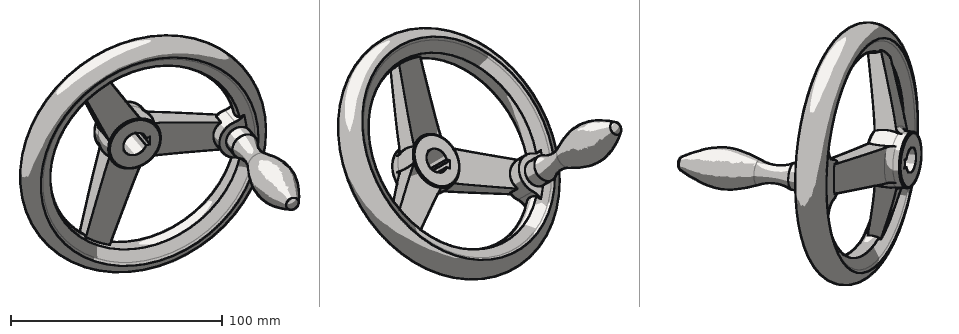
import cadquery as cq
import math


rim_front = 20.0
rim_width = 15.9
rim_outer_radius = 62.5
rim_inner_radius = 48.2
rim_shoulder_radius = 56.2
rim_lip_radius = 55.9
rim_cone_x = 20.9
rim_cone_radius = 54.5
rim_cone_end_x = 24.1
rim_cone_end_radius = 49.2
rim_back = rim_front + rim_width
rim_middle = rim_front + rim_width / 2

hub_length = 18.1
hub_radius = 13.5
hub_bulge_radius = 14.2
hub_collar_length = 5.2
hub_chamfer = 0.6
bore_radius = 6.0
key_width = 4.0
key_reach = 7.7

spoke_count = 3
spoke_fillet_start = 3.7
spoke_front_x = 7.2
spoke_front_radius = 15.5
spoke_front_slope = 2.15
spoke_back_x = 17.6
spoke_back_slope = 2.9
spoke_half_width_at_axis = 9.5
spoke_taper = 0.05
spoke_root_radius = 10.0
spoke_end_radius = 52.5

handle_offset = 47.0
boss_front = rim_cone_x
boss_length = 12.1
boss_radius = 10.0
boss_blend_radius = 8.0
boss_outer_radius = 54.9

collar_radius = 6.5
collar_end = 40.6
neck_x = 50.4
neck_radius = 4.4
grip_start = 58.4
grip_start_radius = 6.1
grip_start_slope = 0.36
grip_widest_x = 75.0
grip_radius = 10.0
grip_end = 98.0
grip_end_radius = 3.2
grip_end_slope = -0.5
handle_end = 99.5


def revolve_about_x(profile):
    """Revolve a closed profile of (x, radius) points around the X axis."""
    return profile.close().revolve(360, (0, 0, 0), (1, 0, 0))


def make_rim():
    return revolve_about_x(
        cq.Workplane("XY")
        .moveTo(rim_front, rim_lip_radius)
        .lineTo(rim_front, rim_shoulder_radius)
        .threePointArc((rim_middle, rim_outer_radius), (rim_back, rim_shoulder_radius))
        .lineTo(rim_back, rim_lip_radius)
        .lineTo(2 * rim_middle - rim_cone_x, rim_cone_radius)
        .lineTo(2 * rim_middle - rim_cone_end_x, rim_cone_end_radius)
        .threePointArc((rim_middle, rim_inner_radius), (rim_cone_end_x, rim_cone_end_radius))
        .lineTo(rim_cone_x, rim_cone_radius)
    )


def make_hub():
    barrel_end = hub_length - hub_chamfer
    barrel_middle = (hub_collar_length + barrel_end) / 2
    return revolve_about_x(
        cq.Workplane("XY")
        .moveTo(0, 0)
        .lineTo(0, hub_radius - hub_chamfer)
        .lineTo(hub_chamfer, hub_radius)
        .lineTo(hub_collar_length, hub_radius)
        .threePointArc((barrel_middle, hub_bulge_radius), (barrel_end, hub_radius))
        .lineTo(hub_length, hub_radius - hub_chamfer)
        .lineTo(hub_length, 0)
    )


def make_spokes():
    front_end_x = spoke_front_x + (spoke_end_radius - spoke_front_radius) / spoke_front_slope
    back_end_x = spoke_back_x + (spoke_end_radius - hub_radius) / spoke_back_slope
    ring = revolve_about_x(
        cq.Workplane("XY")
        .moveTo(spoke_fillet_start, spoke_root_radius)
        .lineTo(spoke_fillet_start, hub_radius)
        .spline(
            [(spoke_front_x, spoke_front_radius)],
            tangents=[(1, 0), (1, spoke_front_slope)],
            includeCurrent=True,
        )
        .lineTo(front_end_x, spoke_end_radius)
        .lineTo(back_end_x, spoke_end_radius)
        .lineTo(spoke_back_x, hub_radius)
        .lineTo(spoke_back_x, spoke_root_radius)
    )
    root_half = spoke_half_width_at_axis - spoke_taper * spoke_root_radius
    end_half = spoke_half_width_at_axis - spoke_taper * rim_outer_radius
    arm = (
        cq.Workplane("YZ")
        .polyline([
            (spoke_root_radius, -root_half),
            (rim_outer_radius, -end_half),
            (rim_outer_radius, end_half),
            (spoke_root_radius, root_half),
        ])
        .close()
        .extrude(rim_back)
    )
    arm = arm.intersect(ring)
    spokes = arm
    for index in range(1, spoke_count):
        spokes = spokes.union(arm.rotate((0, 0, 0), (1, 0, 0), index * 360 / spoke_count))
    return spokes


def make_boss():
    to_axis = boss_outer_radius - boss_blend_radius
    to_boss = boss_radius + boss_blend_radius
    blend_y = (to_axis**2 + handle_offset**2 - to_boss**2) / (2 * handle_offset)
    blend_z = math.sqrt(to_axis**2 - blend_y**2)

    boss_share = boss_radius / to_boss
    boss_y = handle_offset + (blend_y - handle_offset) * boss_share
    boss_z = blend_z * boss_share
    rim_share = boss_outer_radius / to_axis
    rim_y = blend_y * rim_share
    rim_z = blend_z * rim_share

    angle_to_boss = math.atan2(boss_z - blend_z, boss_y - blend_y)
    angle_to_rim = math.atan2(rim_z - blend_z, rim_y - blend_y)
    angle = (angle_to_boss + angle_to_rim) / 2
    mid_y = blend_y + boss_blend_radius * math.cos(angle)
    mid_z = blend_z + boss_blend_radius * math.sin(angle)

    return (
        cq.Workplane("YZ", origin=(boss_front, 0, 0))
        .moveTo(boss_y, boss_z)
        .threePointArc((mid_y, mid_z), (rim_y, rim_z))
        .threePointArc((boss_outer_radius, 0), (rim_y, -rim_z))
        .threePointArc((mid_y, -mid_z), (boss_y, -boss_z))
        .threePointArc((handle_offset - boss_radius, 0), (boss_y, boss_z))
        .close()
        .extrude(boss_length)
    )


def make_handle():
    tip_length = handle_end - grip_end
    tip_radius = (tip_length**2 + grip_end_radius**2) / (2 * tip_length)
    half_angle = math.asin(grip_end_radius / tip_radius) / 2
    tip_middle = (
        handle_end - tip_radius * (1 - math.cos(half_angle)),
        tip_radius * math.sin(half_angle),
    )
    handle = revolve_about_x(
        cq.Workplane("XY")
        .moveTo(rim_middle, 0)
        .lineTo(rim_middle, collar_radius)
        .lineTo(collar_end, collar_radius)
        .threePointArc((neck_x, neck_radius), (grip_start, grip_start_radius))
        .spline(
            [(grip_widest_x, grip_radius), (grip_end, grip_end_radius)],
            tangents=[(1, grip_start_slope), (1, grip_end_slope)],
            includeCurrent=True,
        )
        .threePointArc(tip_middle, (handle_end, 0))
    )
    return handle.translate((0, handle_offset, 0))


def make_keyed_bore():
    bore = cq.Workplane("YZ").circle(bore_radius).extrude(hub_length)
    keyway = cq.Workplane("XY").box(hub_length, key_reach, key_width, centered=(False, False, True))
    return bore.union(keyway)


result = (
    make_rim()
    .union(make_hub())
    .union(make_spokes())
    .union(make_boss())
    .union(make_handle())
    .cut(make_keyed_bore())
)